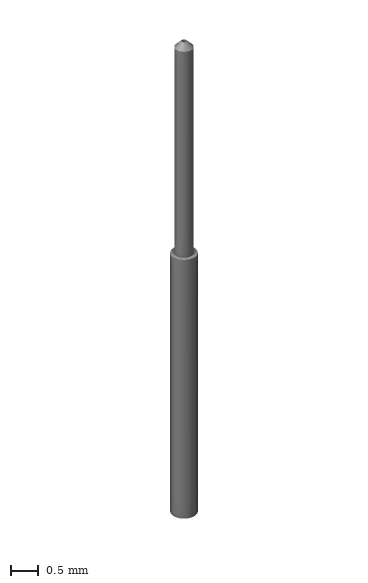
import cadquery as cq

total_length = 10.0
body_diameter = 0.5
body_length = 5.5
stem_diameter = 0.35
bore_diameter = 0.1

body_radius = body_diameter / 2
stem_radius = stem_diameter / 2
bore_radius = bore_diameter / 2

tip_height = stem_radius - bore_radius
stem_top = total_length - tip_height

half_section = (
    cq.Workplane("XZ")
    .moveTo(bore_radius, 0)
    .lineTo(body_radius, 0)
    .lineTo(body_radius, body_length)
    .lineTo(stem_radius, body_length)
    .lineTo(stem_radius, stem_top)
    .lineTo(bore_radius, total_length)
    .close()
)

result = half_section.revolve(360, (0, 0, 0), (0, 1, 0))